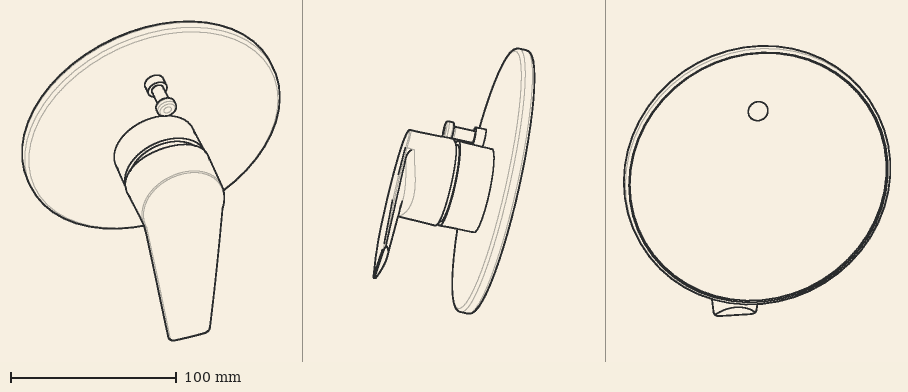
import cadquery as cq
import math


total_height = 194.8
total_depth = 76.4

plate_radius = 163.0 / 2
plate_rim_thickness = 8.4
plate_centre_thickness = 11.1
plate_edge_round = 2.0
recess_depth = 1.0
recess_wall_slant = 0.8

pin_height = 41.9
collar_radius = 12.0 / 2
collar_end = 16.5
shank_radius = 7.5 / 2
head_start = 30.0
head_end = 34.7
head_round = 1.2
pip_radius = 4.9 / 2
pip_height = 0.5

valve_height = -12.7
sleeve_base_radius = 25.7
sleeve_end_radius = 26.3
sleeve_end = 32.0

dome_centre = 25.7
dome_radius = 24.5

barrel_start = 34.5
barrel_start_radius = 26.9
barrel_end_radius = 26.1
barrel_top_start = 38.5
underside_bend_drop = 7.8

front_top_x = 62.1
front_top_z = 12.5
front_bulge = 1.4
front_crown_radius = 233.8
front_overrun = 11.7
rim_round = 0.8

lever_root_half_width = 26.0
lever_tip_half_width = 12.9
lever_corner_round = 3.9
lever_back_root_x = 56.7
lever_back_slope = 0.15
lever_back_root_radius = 54.5
lever_back_tip_radius = 27.3
tip_bevel_height = 6.6
tip_thickness = 1.0
lever_root_fillet = 6.6

tip_z = plate_radius - total_height


def turned(profile, axis_height):
    """Revolve an (X, radius) profile about an axis parallel to X."""
    solid = profile.close().revolve(360, (0, 0, 0), (1, 0, 0))
    return solid.translate((0, 0, axis_height))


def make_plate():
    face_radius = plate_radius - plate_edge_round
    recess_floor_radius = face_radius - recess_wall_slant
    corner = plate_edge_round * (1 - math.sqrt(0.5))
    rise = plate_centre_thickness - plate_rim_thickness
    dome_arc_radius = (face_radius**2 + rise**2) / (2 * rise)
    mid_radius = face_radius / 2
    mid_x = plate_centre_thickness - dome_arc_radius + math.sqrt(dome_arc_radius**2 - mid_radius**2)
    profile = (
        cq.Workplane("XY")
        .moveTo(recess_depth, 0)
        .lineTo(recess_depth, recess_floor_radius)
        .lineTo(0, face_radius)
        .threePointArc((corner, plate_radius - corner), (plate_edge_round, plate_radius))
        .lineTo(plate_rim_thickness - plate_edge_round, plate_radius)
        .threePointArc(
            (plate_rim_thickness - corner, plate_radius - corner),
            (plate_rim_thickness, face_radius),
        )
        .threePointArc((mid_x, mid_radius), (plate_centre_thickness, 0))
    )
    return turned(profile, 0)


def make_pin():
    head_face_radius = collar_radius - head_round
    near = head_round * (1 - math.sqrt(0.5))
    profile = (
        cq.Workplane("XY")
        .moveTo(recess_depth, 0)
        .lineTo(recess_depth, collar_radius)
        .lineTo(collar_end, collar_radius)
        .lineTo(collar_end, shank_radius)
        .lineTo(head_start - head_round, shank_radius)
        .threePointArc((head_start - near, shank_radius + near), (head_start, head_face_radius))
        .threePointArc(
            (head_start + near, collar_radius - near),
            (head_start + head_round, collar_radius),
        )
        .lineTo(head_end - head_round, collar_radius)
        .threePointArc((head_end - near, collar_radius - near), (head_end, head_face_radius))
        .lineTo(head_end, pip_radius)
        .lineTo(head_end + pip_height, 0)
    )
    return turned(profile, pin_height)


def make_pin_hole():
    hole = cq.Workplane("YZ").center(0, pin_height).circle(collar_radius)
    return hole.extrude(plate_centre_thickness)


def make_sleeve(plate):
    profile = (
        cq.Workplane("XY")
        .moveTo(plate_rim_thickness, 0)
        .lineTo(plate_rim_thickness, sleeve_base_radius)
        .lineTo(sleeve_end, sleeve_end_radius)
        .lineTo(sleeve_end, 0)
    )
    return turned(profile, valve_height).cut(plate)


def make_dome():
    edge_radius = math.sqrt(dome_radius**2 - (sleeve_end - dome_centre) ** 2)
    diagonal = dome_radius * math.sqrt(0.5)
    profile = (
        cq.Workplane("XY")
        .moveTo(sleeve_end, 0)
        .lineTo(sleeve_end, edge_radius)
        .threePointArc((dome_centre + diagonal, diagonal), (dome_centre + dome_radius, 0))
    )
    return turned(profile, valve_height)


def make_front_limit():
    """Crowned solid whose outer surface is the front face of the handle."""
    run_x = total_depth - front_top_x
    run_z = tip_z - front_top_z
    length = math.hypot(run_x, run_z)
    out_x, out_z = -run_z / length, run_x / length
    top = cq.Vector(front_top_x, 0, front_top_z)
    tip = cq.Vector(total_depth, 0, tip_z)
    outward = cq.Vector(out_x, 0, out_z)
    along = (tip - top).normalized()
    middle = (top + tip) * 0.5 + outward * front_bulge
    arc_radius = ((length / 2) ** 2 + front_bulge**2) / (2 * front_bulge)
    half = length / 2 + front_overrun
    sink = arc_radius - math.sqrt(arc_radius**2 - half**2)
    arc_start = middle - along * half - outward * sink
    arc_end = middle + along * half - outward * sink
    axis_start = middle - along * half - outward * front_crown_radius
    axis_end = middle + along * half - outward * front_crown_radius

    def flat(point):
        return (point.x, point.z)

    profile = (
        cq.Workplane("XZ")
        .moveTo(*flat(axis_start))
        .lineTo(*flat(arc_start))
        .threePointArc(flat(middle), flat(arc_end))
        .lineTo(*flat(axis_end))
        .close()
    )
    return profile.revolve(360, flat(axis_start), flat(axis_end))


def make_barrel():
    profile = (
        cq.Workplane("XY")
        .moveTo(barrel_start, 0)
        .lineTo(barrel_start, barrel_start_radius)
        .lineTo(total_depth, barrel_end_radius)
        .lineTo(total_depth, 0)
    )
    bend_z = valve_height - underside_bend_drop
    top_z = valve_height + barrel_start_radius
    bottom_z = valve_height - barrel_start_radius
    side = (
        cq.Workplane("XZ")
        .moveTo(total_depth, bottom_z)
        .lineTo(barrel_start, bottom_z)
        .lineTo(barrel_start, bend_z)
        .tangentArcPoint((barrel_top_start, top_z), relative=False)
        .lineTo(total_depth, top_z)
        .close()
        .extrude(barrel_start_radius, both=True)
    )
    return turned(profile, valve_height).intersect(side)


def lever_back_x(z):
    """X of the lever's back face on its centre line."""
    return lever_back_root_x + lever_back_slope * (valve_height - z)


def make_lever():
    outline = (
        cq.Workplane("YZ")
        .polyline([
            (-lever_root_half_width, valve_height),
            (lever_root_half_width, valve_height),
            (lever_tip_half_width, tip_z),
            (-lever_tip_half_width, tip_z),
        ])
        .close()
        .extrude(total_depth)
        .edges("|X and <Z")
        .fillet(lever_corner_round)
    )
    root_axis = (lever_back_x(valve_height) + lever_back_root_radius, valve_height)
    tip_axis = (lever_back_x(tip_z) + lever_back_tip_radius, tip_z)
    back = (
        cq.Workplane("XZ")
        .polyline([
            (lever_back_x(valve_height), valve_height),
            root_axis,
            tip_axis,
            (lever_back_x(tip_z), tip_z),
        ])
        .close()
        .revolve(360, root_axis, tip_axis)
    )
    return outline.intersect(back)


def make_tip_bevel():
    bevel_top = tip_z + tip_bevel_height
    return (
        cq.Workplane("XZ")
        .moveTo(lever_back_x(bevel_top), bevel_top)
        .lineTo(total_depth - tip_thickness, tip_z)
        .lineTo(lever_back_x(bevel_top), tip_z)
        .close()
        .extrude(lever_root_half_width, both=True)
    )


def make_handle(dome):
    barrel_bottom = valve_height - barrel_start_radius
    barrel_foot = (lever_back_x(barrel_bottom), 0, barrel_bottom)
    front_point = (total_depth, 0, (front_top_z + tip_z) / 2)
    handle = (
        make_barrel()
        .union(make_lever())
        .edges(cq.selectors.NearestToPointSelector(barrel_foot))
        .fillet(lever_root_fillet)
        .intersect(make_front_limit())
        .faces(cq.selectors.NearestToPointSelector(front_point))
        .edges()
        .fillet(rim_round)
    )
    return handle.cut(make_tip_bevel()).cut(dome)


pin = make_pin()
plate = make_plate().cut(make_pin_hole())
sleeve = make_sleeve(plate)
dome = make_dome()
handle = make_handle(dome)

result = cq.Compound.makeCompound([
    plate.val(), pin.val(), sleeve.val(), dome.val(), handle.val(),
])